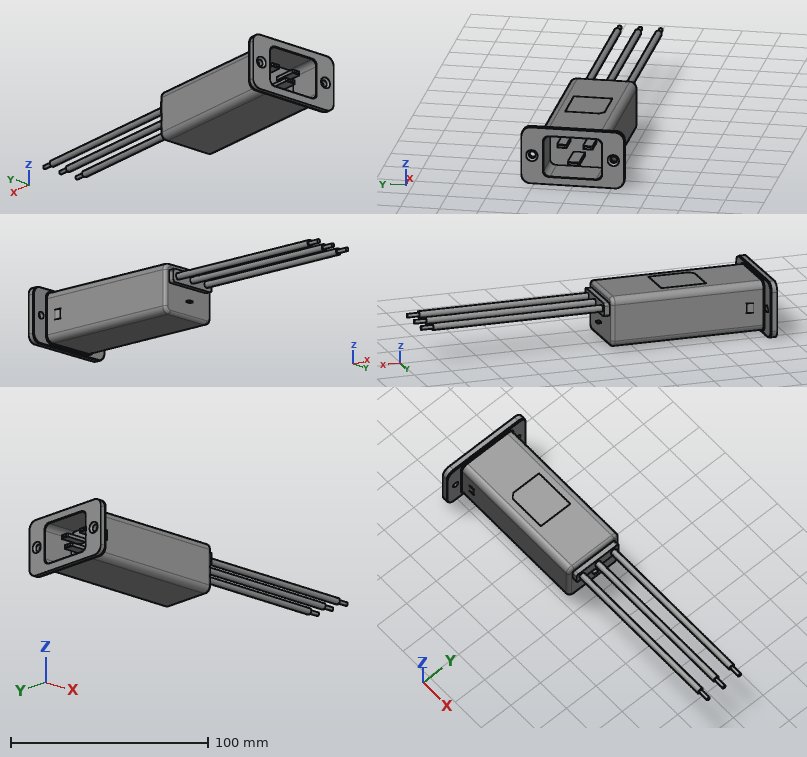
import cadquery as cq

FLANGE_PLATE_THICKNESS = 3.0
FLANGE_THICKNESS = 3.7
FLANGE_WIDTH = 53.0
FLANGE_HEIGHT = 30.0
FLANGE_CORNER_RADIUS = 4.6
FLANGE_BACK_INSET = 0.28

SCREW_HOLE_DIAMETER = 3.5
COUNTERSINK_DIAMETER = 6.0
COUNTERSINK_ANGLE = 90
SCREW_HOLE_Y = 21.0

HOUSING_END = 85.9
HOUSING_WIDTH = 34.4
HOUSING_HEIGHT = 26.5
HOUSING_CORNER_RADIUS = 3.7
HOUSING_END_ROUND = 1.9

COLLAR_LENGTH = 0.5
COLLAR_MARGIN = 0.5

CAVITY_WIDTH = 30.1
CAVITY_HEIGHT = 21.4
CAVITY_DEPTH = 18.4
CAVITY_CORNER_RADIUS = 3.2
MOUTH_CHAMFER = 0.4
BLADE_THICKNESS = 1.9
BLADE_CORNER_CHAMFER = 0.7
BLADE_TIP_CHAMFER = 0.4
BLADE_ROW_Z = 3.9
LINE_BLADE_Y = 6.7
LINE_BLADE_WIDTH = 4.8
LINE_BLADE_TIP = 5.5
EARTH_BLADE_WIDTH = 6.0
EARTH_BLADE_TIP = 1.9

LATCH_START = 9.7
LATCH_LENGTH = 3.5
LATCH_HEIGHT = 5.2
LATCH_DEPTH = 1.0

LABEL_START = 32.5
LABEL_LENGTH = 24.0
LABEL_WIDTH = 19.9
LABEL_CORNER = 2.5
LABEL_THICKNESS = 0.1

GROMMET_LENGTH = 3.0
GROMMET_WIDTH = 28.5
GROMMET_HEIGHT = 7.0
GROMMET_CORNER_RADIUS = 1.3
LEAD_Z = 6.3
LEAD_PITCH = 10.6
LEAD_DIAMETER = 3.5
LEAD_END = 179.8
CONDUCTOR_DIAMETER = 2.0
CONDUCTOR_END = 185.9

TAB_LENGTH = 1.9
TAB_WIDTH = 2.8
TAB_THICKNESS = 0.7
TAB_Z = -4.5


def bar(start, end, width, height, y=0, z=0):
    """Rectangular bar along X, centred on (y, z)."""
    return cq.Workplane("YZ", origin=(start, y, z)).rect(width, height).extrude(end - start)


def rounded_bar(start, end, width, height, radius, z=0):
    """Bar along X with its four long edges rounded."""
    return bar(start, end, width, height, z=z).edges("|X").fillet(radius)


def rod(start, end, diameter, y, z):
    """Round bar along X."""
    return cq.Workplane("YZ", origin=(start, y, z)).circle(diameter / 2).extrude(end - start)


def make_flange():
    plate = rounded_bar(0, FLANGE_PLATE_THICKNESS, FLANGE_WIDTH, FLANGE_HEIGHT, FLANGE_CORNER_RADIUS)
    back_layer = rounded_bar(
        FLANGE_PLATE_THICKNESS,
        FLANGE_THICKNESS,
        FLANGE_WIDTH - 2 * FLANGE_BACK_INSET,
        FLANGE_HEIGHT - 2 * FLANGE_BACK_INSET,
        FLANGE_CORNER_RADIUS - FLANGE_BACK_INSET,
    )
    flange = plate.union(back_layer)
    return (
        flange.faces("<X").workplane(centerOption="CenterOfBoundBox")
        .pushPoints([(-SCREW_HOLE_Y, 0), (SCREW_HOLE_Y, 0)])
        .cskHole(SCREW_HOLE_DIAMETER, COUNTERSINK_DIAMETER, COUNTERSINK_ANGLE)
    )


def make_housing():
    housing = rounded_bar(
        FLANGE_THICKNESS, HOUSING_END, HOUSING_WIDTH, HOUSING_HEIGHT, HOUSING_CORNER_RADIUS
    )
    housing = housing.faces(">X").edges().fillet(HOUSING_END_ROUND)
    collar = rounded_bar(
        FLANGE_THICKNESS,
        FLANGE_THICKNESS + COLLAR_LENGTH,
        HOUSING_WIDTH + 2 * COLLAR_MARGIN,
        HOUSING_HEIGHT + 2 * COLLAR_MARGIN,
        HOUSING_CORNER_RADIUS + COLLAR_MARGIN,
    )
    return housing.union(collar)


def cut_cavity(body):
    """Cut the socket cavity from the mating face and chamfer its mouth."""
    cavity = rounded_bar(0, CAVITY_DEPTH, CAVITY_WIDTH, CAVITY_HEIGHT, CAVITY_CORNER_RADIUS)
    mouth_region = cq.selectors.BoxSelector(
        (-MOUTH_CHAMFER, -CAVITY_WIDTH / 2 - MOUTH_CHAMFER, -CAVITY_HEIGHT / 2 - MOUTH_CHAMFER),
        (MOUTH_CHAMFER, CAVITY_WIDTH / 2 + MOUTH_CHAMFER, CAVITY_HEIGHT / 2 + MOUTH_CHAMFER),
    )
    return body.cut(cavity).faces("<X").edges(mouth_region).chamfer(MOUTH_CHAMFER)


def make_blade(tip, width, y, z):
    """Contact blade rooted in the cavity floor, with a chamfered tip."""
    blade = bar(tip, CAVITY_DEPTH, width, BLADE_THICKNESS, y, z)
    blade = blade.faces("<X").edges("|Z").chamfer(BLADE_CORNER_CHAMFER)
    return blade.faces("<X").edges("|Y").chamfer(BLADE_TIP_CHAMFER)


def make_latch_recess(side):
    """Wedge cut from the side wall; side is -1 for the -Y wall and +1 for the +Y wall."""
    wall = side * HOUSING_WIDTH / 2
    end = LATCH_START + LATCH_LENGTH
    return (
        cq.Workplane("XY", origin=(0, 0, -LATCH_HEIGHT / 2))
        .polyline([(LATCH_START, wall), (end, wall), (end, wall - side * LATCH_DEPTH)])
        .close()
        .extrude(LATCH_HEIGHT)
    )


def make_label():
    middle = LABEL_START + LABEL_LENGTH / 2
    return (
        cq.Workplane("XY", origin=(middle, 0, HOUSING_HEIGHT / 2))
        .rect(LABEL_LENGTH, LABEL_WIDTH)
        .extrude(LABEL_THICKNESS)
        .edges("|Z and <X and <Y")
        .chamfer(LABEL_CORNER)
    )


def make_leads():
    grommet_end = HOUSING_END + GROMMET_LENGTH
    leads = rounded_bar(
        HOUSING_END, grommet_end, GROMMET_WIDTH, GROMMET_HEIGHT, GROMMET_CORNER_RADIUS, LEAD_Z
    )
    for y in (-LEAD_PITCH, 0, LEAD_PITCH):
        leads = leads.union(rod(grommet_end, LEAD_END, LEAD_DIAMETER, y, LEAD_Z))
        leads = leads.union(rod(LEAD_END, CONDUCTOR_END, CONDUCTOR_DIAMETER, y, LEAD_Z))
    return leads


def make_tab():
    return bar(HOUSING_END, HOUSING_END + TAB_LENGTH, TAB_WIDTH, TAB_THICKNESS, z=TAB_Z)


result = cut_cavity(make_flange().union(make_housing()))
for side in (-1, 1):
    line_blade = make_blade(LINE_BLADE_TIP, LINE_BLADE_WIDTH, side * LINE_BLADE_Y, BLADE_ROW_Z)
    result = result.cut(make_latch_recess(side)).union(line_blade)
result = result.union(make_blade(EARTH_BLADE_TIP, EARTH_BLADE_WIDTH, 0, -BLADE_ROW_Z))
result = result.union(make_label()).union(make_leads()).union(make_tab())